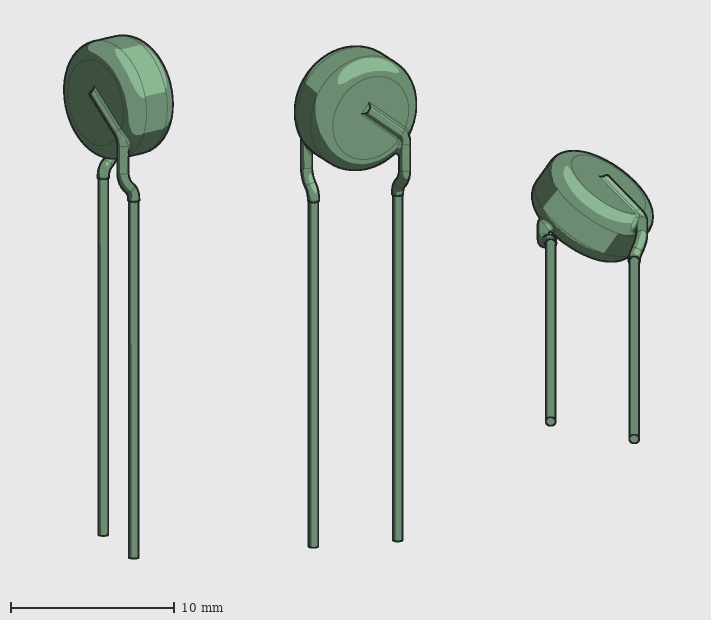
import cadquery as cq
import math

disc_diameter = 7.4
disc_thickness = 3.65
disc_edge_radius = 1.0

total_height = 32.4
wire_diameter = 0.6
coating_diameter = 0.7
lead_spread = 2.5
leads_outer_depth = 4.1
wire_offset = 0.85
coating_end_height = 22.8
coating_end_rounding = 0.045
lower_bend_end_height = 22.95
lower_bend_start_height = 24.8
lower_arc_share = 0.41
upper_bend_height = 26.55
upper_bend_radius = 1.0
upper_bend_angle = 50.0
diagonal_length = 3.1
blend_radius = 0.2
contact_tolerance = 0.0003

disc_radius = disc_diameter / 2
disc_height = total_height - disc_radius
coating_offset = (leads_outer_depth - coating_diameter) / 2


def disc_body():
    """Round disc with rounded rims."""
    return (
        cq.Workplane("XZ", origin=(0, disc_thickness / 2, disc_height))
        .circle(disc_radius)
        .extrude(disc_thickness)
        .edges()
        .fillet(disc_edge_radius)
    )


def coating_path():
    """Centre line of the coated lead on the -Y face, from its lower end to its tip."""
    inward_shift = coating_offset - wire_offset
    bend_drop = lower_bend_start_height - lower_bend_end_height
    lower_angle = 2 * math.atan(inward_shift / bend_drop)
    y_middle = -wire_offset - lower_arc_share * inward_shift
    z_middle = lower_bend_end_height + lower_arc_share * bend_drop

    lower_end = cq.Vector(lead_spread, -wire_offset, coating_end_height)
    bend_end = cq.Vector(lead_spread, -wire_offset, lower_bend_end_height)
    bend_middle = cq.Vector(lead_spread, y_middle, z_middle)
    bend_start = cq.Vector(lead_spread, -coating_offset, lower_bend_start_height)
    slanted = cq.Vector(0, -math.sin(lower_angle), math.cos(lower_angle))

    upper_angle = math.radians(upper_bend_angle)
    diagonal = cq.Vector(-math.sin(upper_angle), 0, math.cos(upper_angle))
    upper_start = cq.Vector(lead_spread, -coating_offset, upper_bend_height)
    upper_end = upper_start + cq.Vector(
        -upper_bend_radius * (1 - math.cos(upper_angle)), 0, upper_bend_radius * math.sin(upper_angle)
    )
    tip = upper_end + diagonal * diagonal_length
    up = cq.Vector(0, 0, 1)

    return cq.Wire.assembleEdges([
        cq.Edge.makeLine(lower_end, bend_end),
        cq.Edge.makeTangentArc(bend_end, up, bend_middle),
        cq.Edge.makeTangentArc(bend_middle, slanted, bend_start),
        cq.Edge.makeLine(bend_start, upper_start),
        cq.Edge.makeTangentArc(upper_start, up, upper_end),
        cq.Edge.makeLine(upper_end, tip),
    ])


def lead():
    """Lead on the -Y face: a coated, bent upper part and a straight bare wire."""
    coating = (
        cq.Workplane("XY", origin=(lead_spread, -wire_offset, coating_end_height))
        .circle(coating_diameter / 2)
        .sweep(cq.Workplane(coating_path()))
        .edges("<Z")
        .fillet(coating_end_rounding)
    )
    wire = (
        cq.Workplane("XY", origin=(lead_spread, -wire_offset, 0))
        .circle(wire_diameter / 2)
        .extrude(lower_bend_end_height)
    )
    return coating.union(wire)


def touches(edge, shape):
    """True when the middle of the edge lies on the surface of the shape."""
    middle = cq.Vertex.makeVertex(*edge.positionAt(0.5).toTuple())
    return any(face.distance(middle) < contact_tolerance for face in shape.val().Faces())


disc = disc_body()
front_lead = lead()
back_lead = front_lead.rotate((0, 0, 0), (0, 0, 1), 180)
leads = front_lead.union(back_lead)

joined = disc.union(leads)
seams = [edge for edge in joined.edges().vals() if touches(edge, disc) and touches(edge, leads)]
result = joined.newObject(seams).fillet(blend_radius).solids()